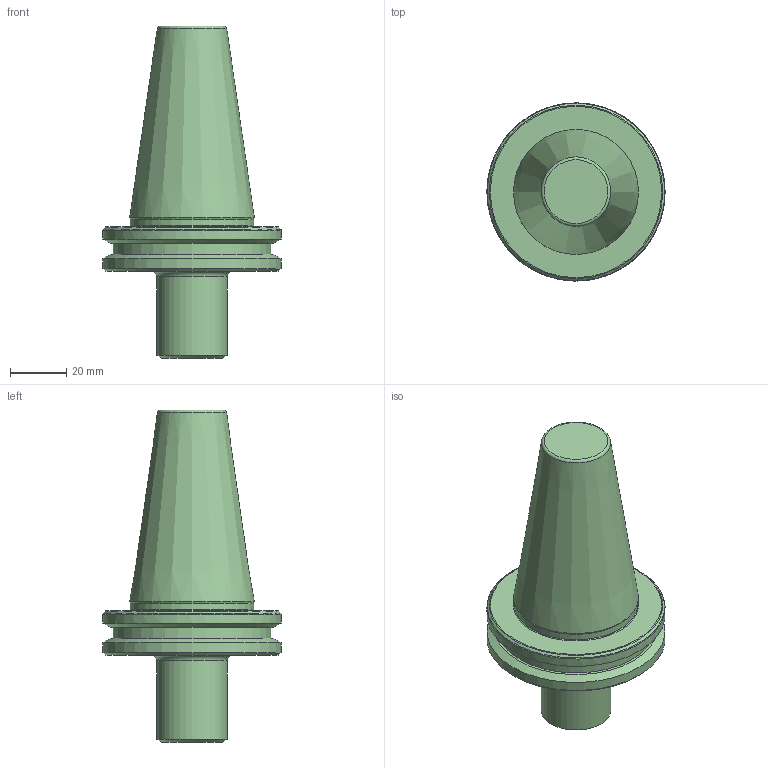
import cadquery as cq
import math


gauge_diameter = 44.45
taper_length = 68.4
taper_ratio = 7 / 24
tip_round = 1.0

neck_diameter = 44.0
neck_step_height = 0.5
neck_base_round = 0.3

flange_diameter = 63.55
flange_top = -3.2
flange_bottom = -19.1
flange_chamfer = 1.0
upper_rim_round = 0.5
groove_center = -11.1
groove_mouth_width = 7.0
groove_floor_width = 3.9
groove_floor_diameter = 56.25
groove_angle = 60.0

shank_diameter = 25.0
shank_end = -50.0
shank_base_round = 2.0
shank_chamfer_height = 1.0
shank_chamfer_angle = 60.0

gauge_radius = gauge_diameter / 2
tip_radius = gauge_radius - taper_length * taper_ratio / 2
neck_radius = neck_diameter / 2
flange_radius = flange_diameter / 2
flange_face_radius = flange_radius - flange_chamfer
upper_rim_bottom = flange_top - flange_chamfer
groove_floor_radius = groove_floor_diameter / 2
groove_wall_height = (groove_mouth_width - groove_floor_width) / 2
groove_ledge_radius = flange_radius - groove_wall_height / math.tan(math.radians(groove_angle / 2))
shank_radius = shank_diameter / 2
shank_chamfer_width = shank_chamfer_height * math.tan(math.radians(shank_chamfer_angle))


def turned_body():
    """Revolve the sharp-edged half section, listed as (radius, z) up to the taper tip."""
    half_section = [
        (0, shank_end),
        (shank_radius - shank_chamfer_width, shank_end),
        (shank_radius, shank_end + shank_chamfer_height),
        (shank_radius, flange_bottom),
        (flange_face_radius, flange_bottom),
        (flange_radius, flange_bottom + flange_chamfer),
        (flange_radius, groove_center - groove_mouth_width / 2),
        (groove_ledge_radius, groove_center - groove_floor_width / 2),
        (groove_floor_radius, groove_center - groove_floor_width / 2),
        (groove_floor_radius, groove_center + groove_floor_width / 2),
        (groove_ledge_radius, groove_center + groove_floor_width / 2),
        (flange_radius, groove_center + groove_mouth_width / 2),
        (flange_radius, upper_rim_bottom),
        (flange_face_radius, flange_top),
        (neck_radius, flange_top),
        (neck_radius, -neck_step_height),
        (gauge_radius, 0),
        (tip_radius, taper_length),
        (0, taper_length),
    ]
    return cq.Workplane("XZ").polyline(half_section).close().revolve(360, (0, 0, 0), (0, 1, 0))


def round_circle(body, circle_radius, z, round_radius):
    """Round the circular edge that has the given radius and height."""
    margin = 0.01
    reach = circle_radius + margin
    edges = body.edges(
        cq.selectors.BoxSelector((-reach, -reach, z - margin), (reach, reach, z + margin), boundingbox=True)
    )
    circle = edges.edges(cq.selectors.RadiusNthSelector(-1))
    return circle.fillet(round_radius)


result = turned_body()
result = round_circle(result, tip_radius, taper_length, tip_round)
result = round_circle(result, neck_radius, flange_top, neck_base_round)
result = round_circle(result, flange_face_radius, flange_top, upper_rim_round)
result = round_circle(result, flange_radius, upper_rim_bottom, upper_rim_round)
result = round_circle(result, shank_radius, flange_bottom, shank_base_round)